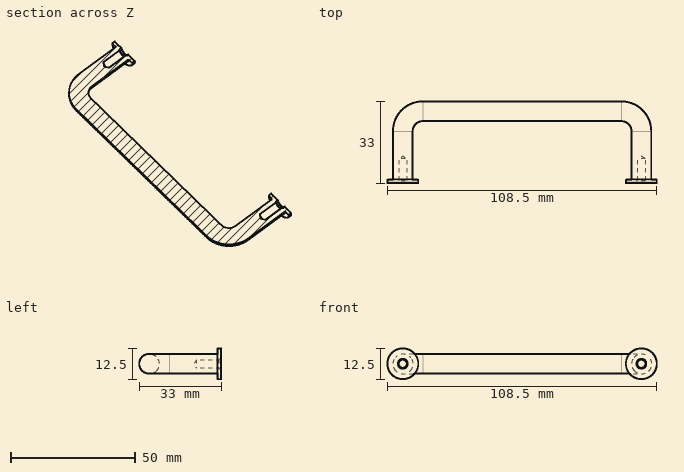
import cadquery as cq
import math

overall_length = 108.5
overall_height = 33.0
rod_diameter = 8.0
bend_radius = 8.0
flange_diameter = 12.5
flange_thickness = 1.5
flange_edge_radius = 0.4
entry_diameter = 4.0
entry_depth = 1.0
screw_hole_diameter = 3.3
screw_hole_depth = 10.0
drill_point_angle = 118.0

leg_x = (overall_length - flange_diameter) / 2
grip_y = overall_height - rod_diameter / 2


def bent_rod():
    """Round bar swept along two legs, two quarter bends and a straight grip."""
    bend_start_y = grip_y - bend_radius
    grip_end_x = leg_x - bend_radius
    bend_mid_x = grip_end_x + bend_radius * math.cos(math.radians(45))
    bend_mid_y = bend_start_y + bend_radius * math.sin(math.radians(45))
    centreline = (
        cq.Workplane("XY")
        .moveTo(-leg_x, 0)
        .lineTo(-leg_x, bend_start_y)
        .threePointArc((-bend_mid_x, bend_mid_y), (-grip_end_x, grip_y))
        .lineTo(grip_end_x, grip_y)
        .threePointArc((bend_mid_x, bend_mid_y), (leg_x, bend_start_y))
        .lineTo(leg_x, 0)
    )
    section = cq.Workplane("XZ", origin=(-leg_x, 0, 0)).circle(rod_diameter / 2)
    return section.sweep(centreline)


def flange(x):
    """Round foot with its rod-side rim rounded."""
    disc = cq.Workplane("XZ", origin=(x, 0, 0)).circle(flange_diameter / 2).extrude(-flange_thickness)
    return disc.edges(">Y").fillet(flange_edge_radius)


def screw_hole(x):
    """Blind hole with a wider entry, a 45 degree step and a conical drill point, as a solid to cut away."""
    hole_radius = screw_hole_diameter / 2
    entry_radius = entry_diameter / 2
    cone_depth = entry_radius - hole_radius
    point_depth = hole_radius / math.tan(math.radians(drill_point_angle / 2))
    profile = (
        cq.Workplane("XY", origin=(x, 0, 0))
        .lineTo(entry_radius, 0)
        .lineTo(entry_radius, entry_depth)
        .lineTo(hole_radius, entry_depth + cone_depth)
        .lineTo(hole_radius, screw_hole_depth)
        .lineTo(0, screw_hole_depth + point_depth)
        .close()
    )
    return profile.revolve(360, (0, 0, 0), (0, 1, 0))


result = bent_rod()
for side in (-1, 1):
    result = result.union(flange(side * leg_x)).cut(screw_hole(side * leg_x))